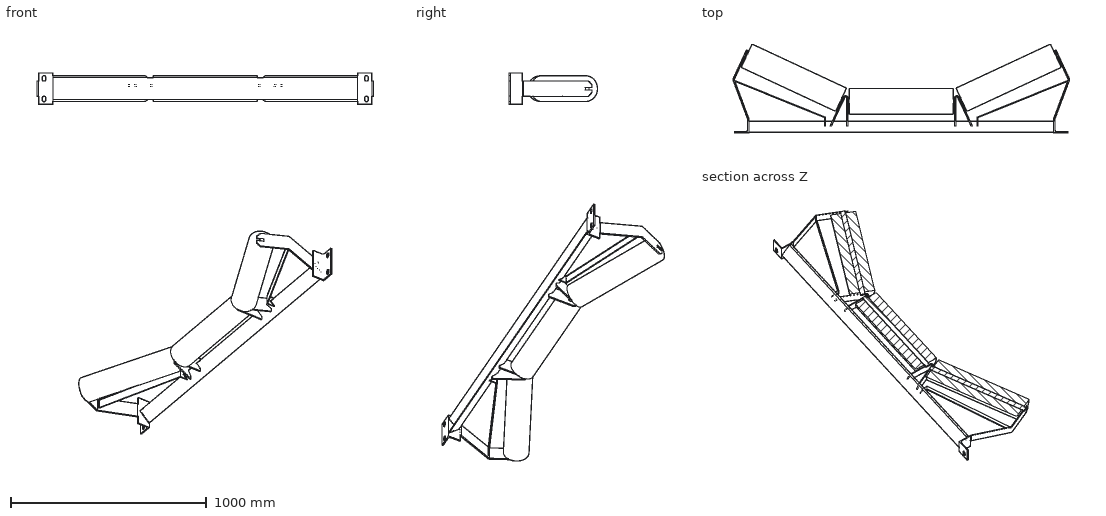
import cadquery as cq
import math


overall_length = 1720.0

trough_angle = 25.0
roller_diameter = 132.0
roller_length = 533.0
end_gap = 5.0
roller_end_radius = 5.0
middle_roller_height = 162.0
side_roller_x = 549.0
side_roller_height = 282.0
shaft_diameter = 22.0
shaft_flat_width = 14.0

beam_leg = 79.0
beam_thickness = 6.0
beam_root_radius = 10.0
beam_toe_radius = 5.0

plate_width = 79.0
plate_overlap = 24.0

post_thickness = 7.7
post_tip_height = 425.0
post_tip_chamfer = 19.0
post_lean = 20.5
elbow_radius = 14.0
post_base_height = 5.0
foot_thickness = 7.0
foot_length = 72.0
foot_width = 160.0
foot_height = 69.0
foot_bend_radius = 9.0
hole_width = 17.0
hole_length = 28.0
hole_spacing = 105.0
hole_inset = 28.0

inner_thickness = 7.0
inner_bend_radius = 12.0

brace_thickness = 4.3
brace_width = 50.0
brace_leg_x = 387.0
brace_bend_height = 80.0
brace_slope = 22.0

trough = math.radians(trough_angle)
axis_x = math.cos(trough)
axis_y = -math.sin(trough)
plate_near = roller_length / 2 + end_gap
shaft_end = plate_near + post_thickness
beam_top = (beam_leg + beam_thickness) * math.sin(math.radians(45))
plate_bottom = beam_top - plate_overlap


def left_plate_x(along, height):
    """X at a height on the plane square to the left roller axis, at a distance along that axis."""
    return -side_roller_x + (along - (height - side_roller_height) * axis_y) / axis_x


def left_plate_y(along, x):
    """Height at an X on the plane square to the left roller axis."""
    return side_roller_height + (along - (x + side_roller_x) * axis_x) / axis_y


elbow_half_turn = math.radians((trough_angle + post_lean) / 2)
elbow_tilt = math.radians((trough_angle - post_lean) / 2)
elbow_overshoot = elbow_radius * (math.cos(elbow_tilt) / math.cos(elbow_half_turn) - 1)
elbow_x = -overall_length / 2 - elbow_overshoot
elbow_y = left_plate_y(-shaft_end, elbow_x)
base_top = foot_height + post_base_height
base_x = elbow_x + (elbow_y - base_top) * math.tan(math.radians(post_lean))
left_end_x = base_x + post_thickness
foot_end_x = left_end_x - foot_length


def bent_strip(path, thickness, width):
    """Plate bent along an XY path, lying to the left of it, with mitred bends and centred on Z = 0."""
    directions = []
    for (x0, y0), (x1, y1) in zip(path, path[1:]):
        length = math.hypot(x1 - x0, y1 - y0)
        directions.append(((x1 - x0) / length, (y1 - y0) / length))
    before = directions[:1] + directions
    after = directions + directions[-1:]
    far_side = []
    for (x, y), (ax, ay), (bx, by) in zip(path, before, after):
        reach = thickness / (1 + ax * bx + ay * by)
        far_side.append((x - reach * (ay + by), y + reach * (ax + bx)))
    outline = path + far_side[::-1]
    return cq.Workplane("XY").polyline(outline).close().extrude(width / 2, both=True)


def round_bend(plate, corner, radius):
    """Round the edge along Z that passes through an XY corner."""
    edge = cq.selectors.NearestToPointSelector((*corner, 0))
    return plate.edges("|Z").edges(edge).fillet(radius)


def mirrored(body):
    return body.mirror("YZ")


def on_left_roller(body):
    """Move a body from the origin onto the left roller axis."""
    turned = body.rotate((0, 0, 0), (0, 0, 1), -trough_angle)
    return turned.translate((-side_roller_x, side_roller_height, 0))


def on_middle_roller(body):
    return body.translate((0, middle_roller_height, 0))


def make_roller():
    start = cq.Workplane("YZ", origin=(-roller_length / 2, 0, 0))
    cylinder = start.circle(roller_diameter / 2).extrude(roller_length)
    cylinder = cylinder.edges("%CIRCLE").fillet(roller_end_radius)
    return cylinder.cut(start.circle(shaft_diameter / 2).extrude(roller_length))


def make_shaft():
    """Round bar with two flats at each end, where it sits in the plate slots."""
    end = cq.Workplane("YZ", origin=(-shaft_end, 0, 0)).circle(shaft_diameter / 2)
    bar = end.extrude(2 * shaft_end)
    round_part = cq.Workplane("XY").box(2 * plate_near, shaft_diameter, shaft_diameter)
    flat_part = cq.Workplane("XY").box(2 * shaft_end, shaft_diameter, shaft_flat_width)
    return bar.intersect(round_part.union(flat_part))


def make_slot_cutter():
    """Upward-open slots for both ends of a shaft lying at the origin."""
    depth = plate_width
    span = 2 * post_thickness
    ends = [(-plate_near - span / 2, 0), (plate_near + span / 2, 0)]
    slots = cq.Workplane("XY").pushPoints(ends).box(span, depth, shaft_flat_width)
    return slots.translate((0, (depth - shaft_diameter) / 2, 0))


def make_beam():
    """Angle section drawn square to the axes, then turned corner upwards."""
    section = cq.Workplane("YZ").polyline([
        (0, 0),
        (-beam_leg, 0),
        (-beam_leg, -beam_thickness),
        (-beam_thickness, -beam_thickness),
        (-beam_thickness, -beam_leg),
        (0, -beam_leg),
    ]).close()
    beam = section.extrude(-left_end_x, both=True)
    root = cq.selectors.NearestToPointSelector((0, -beam_thickness, -beam_thickness))
    beam = beam.edges("|X").edges(root).fillet(beam_root_radius)
    for toe in ((-beam_leg, -beam_thickness), (-beam_thickness, -beam_leg)):
        edge = cq.selectors.NearestToPointSelector((0, *toe))
        beam = beam.edges("|X").edges(edge).fillet(beam_toe_radius)
    return beam.rotate((0, 0, 0), (1, 0, 0), -45).translate((0, beam_top, 0))


def make_saddle_cutter():
    """Everything below the upper faces of the beam and below the lower ends of the plates."""
    section = cq.Workplane("YZ").polyline([
        (beam_top, 0),
        (plate_bottom, plate_overlap),
        (plate_bottom, plate_width),
        (-plate_width, plate_width),
        (-plate_width, -plate_width),
        (plate_bottom, -plate_width),
        (plate_bottom, -plate_overlap),
    ]).close()
    return section.extrude(-left_end_x, both=True)


def make_outer_bracket():
    """Left bracket: a foot for bolting down and a post that carries the outer shaft end."""
    tip = (left_plate_x(-shaft_end, post_tip_height), post_tip_height)
    elbow = (elbow_x, elbow_y)
    base_bend = (base_x, base_top)
    base = (base_x, foot_height)
    post = bent_strip([tip, elbow, base_bend, base], post_thickness, plate_width)
    post = round_bend(post, elbow, elbow_radius)
    tip_corners = cq.selectors.ParallelDirSelector(cq.Vector(axis_x, axis_y, 0))
    post = post.edges(tip_corners).chamfer(post_tip_chamfer)
    post = post.cut(on_left_roller(make_slot_cutter()))

    leg_x = left_end_x - foot_thickness
    leg_top = (leg_x, foot_height)
    foot_bend = (leg_x, foot_thickness)
    foot_end = (foot_end_x, foot_thickness)
    foot = bent_strip([leg_top, foot_bend, foot_end], foot_thickness, foot_width)
    foot = round_bend(foot, foot_bend, foot_bend_radius)
    holes = (
        cq.Workplane("XZ", origin=(foot_end_x + hole_inset, foot_thickness, 0))
        .rarray(17, hole_spacing, 1, 2)
        .slot2D(hole_length, hole_width, 90)
        .extrude(foot_thickness)
    )
    return post.union(foot.cut(holes))


def make_inner_bracket():
    """Left inverted V that carries one end of the middle shaft and one of the side shaft."""
    middle_foot = (-plate_near, 0)
    apex = (-plate_near, left_plate_y(plate_near, -plate_near))
    side_foot = (left_plate_x(plate_near, 0), 0)
    bracket = bent_strip([middle_foot, apex, side_foot], inner_thickness, plate_width)
    inner_apex = (apex[0], apex[1] - inner_thickness / math.sin(trough / 2))
    bracket = round_bend(bracket, apex, inner_bend_radius)
    bracket = round_bend(bracket, inner_apex, inner_bend_radius - inner_thickness)
    bracket = bracket.cut(on_middle_roller(make_slot_cutter()))
    return bracket.cut(on_left_roller(make_slot_cutter()))


def make_brace(outer_bracket):
    """Left strip from the beam up to the elbow of the post, trimmed to the post."""
    end_x = post_thickness / 2 - overall_length / 2
    rise = (-brace_leg_x - end_x) * math.tan(math.radians(brace_slope))
    path = [
        (-brace_leg_x, 0),
        (-brace_leg_x, brace_bend_height),
        (end_x, brace_bend_height + rise),
    ]
    return bent_strip(path, brace_thickness, brace_width).cut(outer_bracket)


def make_frame(outer_bracket):
    """Beam with the inner brackets and braces welded onto it."""
    left_plates = make_inner_bracket().union(make_brace(outer_bracket)).cut(make_saddle_cutter())
    return make_beam().union(left_plates).union(mirrored(left_plates))


left_bracket = make_outer_bracket()
outer_brackets = [left_bracket, mirrored(left_bracket)]
frame = make_frame(left_bracket)

rollers = []
shafts = []
for bodies, body in ((rollers, make_roller()), (shafts, make_shaft())):
    left_body = on_left_roller(body)
    bodies += [left_body, on_middle_roller(body), mirrored(left_body)]

result = cq.Compound.makeCompound(
    [body.val() for body in [frame, *outer_brackets, *rollers, *shafts]]
)